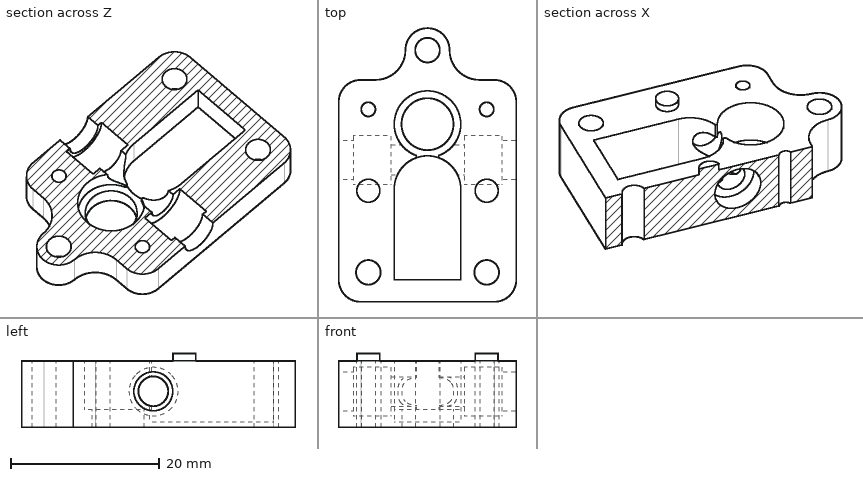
import cadquery as cq

width = 24.0
body_length = 30.0
total_length = 37
height = 9.0
corner_radius = 3.0
tab_radius = 3.0
tab_center_y = total_length - tab_radius
tab_blend_radius = tab_center_y - body_length

feature_x = 8.0
mount_hole_diameter = 3.3
front_hole_y = 4.0
small_hole_diameter = 1.9
small_hole_y = 26.0
pin_diameter = 3.1
pin_y = 15.02
pin_height = 1.0

bore_diameter = 9.0
bore_depth = 6.5
bore_y = 24.0
through_bore_diameter = 7.0
pocket_width = bore_diameter
pocket_front_y = 3.0
pocket_arc_y = 15.25
pocket_depth = 8.2
passage_width = 3.0
passage_length = 1.48

cross_y = 19.2
cross_z = 4.9
cross_diameter = 4.0
chamber_diameter = 6.6
chamber_start_x = 5.0
mouth_diameter = 5.25
mouth_depth = 2.0


def make_body():
    block = (
        cq.Workplane("XY")
        .rect(width, body_length)
        .extrude(height)
        .edges("|Z")
        .fillet(corner_radius)
        .translate((0, body_length / 2, 0))
    )
    blend_x = tab_radius + tab_blend_radius
    neck_base_y = body_length - corner_radius
    tab = (
        cq.Workplane("XY")
        .moveTo(-blend_x, neck_base_y)
        .lineTo(blend_x, neck_base_y)
        .lineTo(blend_x, body_length)
        .radiusArc((tab_radius, tab_center_y), tab_blend_radius)
        .threePointArc((0, total_length), (-tab_radius, tab_center_y))
        .radiusArc((-blend_x, body_length), tab_blend_radius)
        .close()
        .extrude(height)
    )
    return block.union(tab)


def vertical_cylinders(points, diameter, bottom, length):
    return cq.Workplane("XY", origin=(0, 0, bottom)).pushPoints(points).circle(diameter / 2).extrude(length)


def mirrored_points(y):
    return [(-feature_x, y), (feature_x, y)]


def make_pocket():
    half = pocket_width / 2
    return (
        cq.Workplane("XY", origin=(0, 0, height - pocket_depth))
        .moveTo(-half, pocket_front_y)
        .lineTo(half, pocket_front_y)
        .lineTo(half, pocket_arc_y)
        .threePointArc((0, pocket_arc_y + half), (-half, pocket_arc_y))
        .close()
        .extrude(pocket_depth)
    )


def make_passage():
    pocket_end_y = pocket_arc_y + pocket_width / 2
    bore_front_y = bore_y - bore_diameter / 2
    return (
        cq.Workplane("XY", origin=(0, (pocket_end_y + bore_front_y) / 2, height - bore_depth))
        .rect(passage_width, passage_length)
        .extrude(bore_depth)
    )


def cross_cylinder(diameter, start_x, end_x):
    start = cq.Workplane("YZ", origin=(start_x, cross_y, cross_z))
    return start.circle(diameter / 2).extrude(end_x - start_x)


def make_cross_hole():
    side_x = width / 2
    chamber_end_x = side_x - mouth_depth
    hole = cross_cylinder(cross_diameter, -chamber_end_x, chamber_end_x)
    for side in (-1, 1):
        hole = hole.union(cross_cylinder(chamber_diameter, side * chamber_start_x, side * chamber_end_x))
        hole = hole.union(cross_cylinder(mouth_diameter, side * chamber_end_x, side * side_x))
    return hole


mount_points = mirrored_points(front_hole_y) + [(0, tab_center_y)]
bore_point = [(0, bore_y)]

result = (
    make_body()
    .cut(vertical_cylinders(mount_points, mount_hole_diameter, 0, height))
    .cut(vertical_cylinders(mirrored_points(small_hole_y), small_hole_diameter, 0, height))
    .cut(vertical_cylinders(bore_point, through_bore_diameter, 0, height))
    .cut(vertical_cylinders(bore_point, bore_diameter, height - bore_depth, bore_depth))
    .cut(make_pocket())
    .cut(make_passage())
    .cut(make_cross_hole())
    .union(vertical_cylinders(mirrored_points(pin_y), pin_diameter, height, pin_height))
)